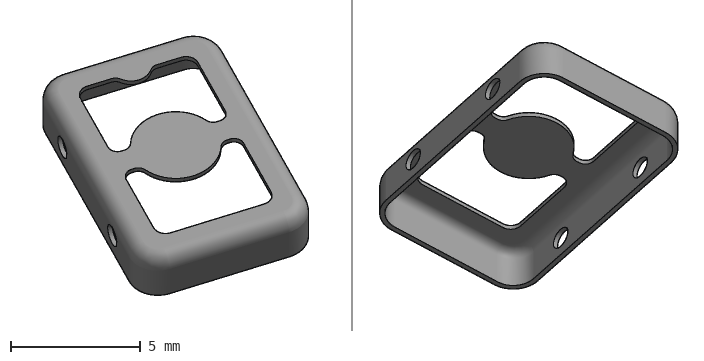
import cadquery as cq

length = 10.8
width = 7.4
height = 2.0
corner_radius = 1.2
top_round = 0.6
wall = 0.2

window_length = 8.32
window_width = 4.9
window_corner_radius = 0.5
bridge_width = 1.04
disc_radius = 1.75
bridge_fillet = 0.4

tab_radius = 0.8
tab_tip_x = -3.69
tab_fillet = 0.4

hole_diameter = 0.9
hole_spacing = 5.0
hole_height = 0.9


def rounded_block(inset):
    """Block with round corners and a rounded top, inset from the outer faces except the base."""
    return (
        cq.Workplane("XY")
        .rect(length - 2 * inset, width - 2 * inset)
        .extrude(height - inset)
        .edges("|Z")
        .fillet(corner_radius - inset)
        .faces(">Z")
        .edges()
        .fillet(top_round - inset)
    )


def window_cutter():
    """Two windows left around the central disc, its bridge and the edge tab."""
    plate_bottom = height - wall
    plane = cq.Workplane("XY").workplane(offset=plate_bottom)
    opening = plane.rect(window_length, window_width).extrude(wall)
    bridge = plane.rect(bridge_width, window_width).extrude(wall)
    disc = plane.circle(disc_radius).extrude(wall)
    tab = plane.center(tab_tip_x - tab_radius, 0).circle(tab_radius).extrude(wall)
    windows = opening.cut(bridge).cut(disc).cut(tab)

    half_length = window_length / 2
    half_width = window_width / 2
    edge_zone = cq.selectors.BoxSelector
    top = height + wall
    margin = 0.11

    corner_fillets = (
        (half_length, window_corner_radius),
        (-half_length, window_corner_radius),
        (bridge_width / 2, bridge_fillet),
        (-bridge_width / 2, bridge_fillet),
    )
    for x, radius in corner_fillets:
        for y in (-half_width, half_width):
            corner = edge_zone((x - margin, y - margin, 0), (x + margin, y + margin, top))
            windows = windows.edges("|Z").edges(corner).fillet(radius)

    neck = edge_zone(
        (-bridge_width / 2 - margin, -disc_radius, 0),
        (bridge_width / 2 + margin, disc_radius, top),
    )
    windows = windows.edges("|Z").edges(neck).fillet(bridge_fillet)

    tab_root = edge_zone(
        (-half_length - margin, -tab_radius, 0),
        (-half_length + margin, tab_radius, top),
    )
    return windows.edges("|Z").edges(tab_root).fillet(tab_fillet)


def cross_holes():
    """Pair of round holes running along Y through both long walls."""
    return (
        cq.Workplane("XZ", origin=(0, 0, hole_height))
        .pushPoints([(-hole_spacing / 2, 0), (hole_spacing / 2, 0)])
        .circle(hole_diameter / 2)
        .extrude(width, both=True)
    )


shell = rounded_block(0).cut(rounded_block(wall))
result = shell.cut(window_cutter()).cut(cross_holes())